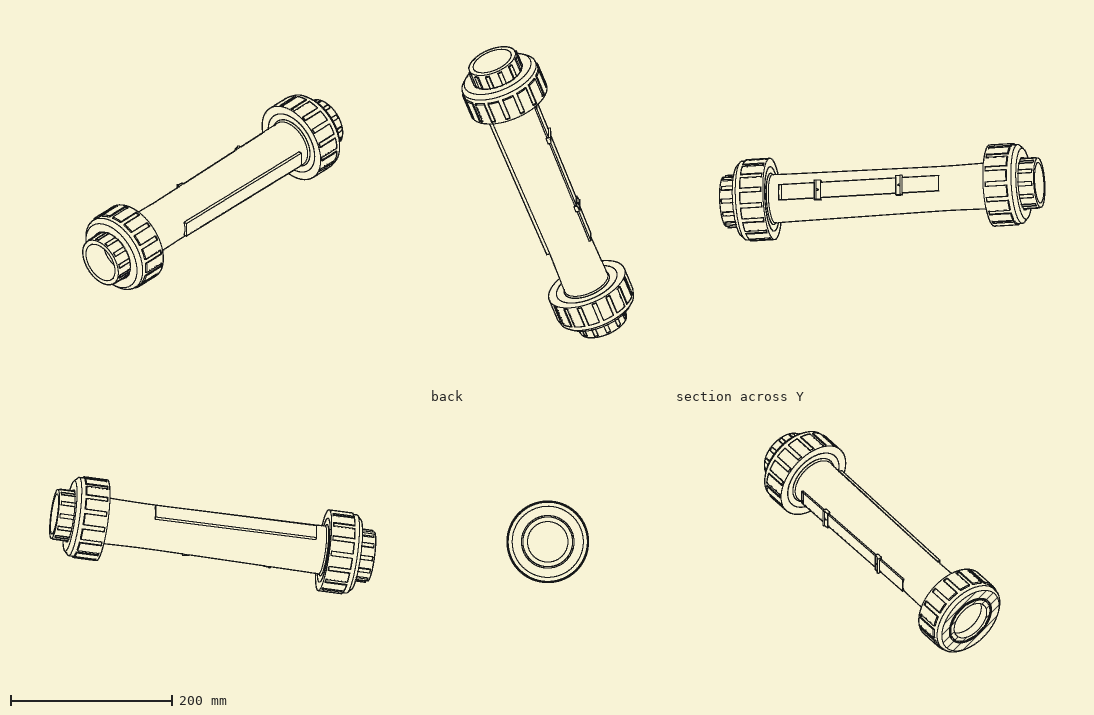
import cadquery as cq

HALF_LENGTH = 400.56 / 2
NUT_OUTER_Y = 180.8
NUT_INNER_Y = 140.3

NUT_DIAMETER = 98.3
NUT_CHAMFER = 5.0
GRIP_DIAMETER = 101.35
GRIP_END_Y = 170.4
GRIP_BEVEL = 0.8
SLOT_COUNT = 16
SLOT_WIDTH = 5.6
SLOT_END_MARGIN = 2.6
UPPER_SLOT_ANGLE = 0.0
LOWER_SLOT_ANGLE = 10.0
FLANGE_DIAMETER = 80.21
FLANGE_RECESS = 0.3
NUT_HOLE_DIAMETER = 65.28
NUT_HOLE_DEPTH = 2.0

SOCKET_DIAMETER = 61.67
BORE_DIAMETER = 50.22
BORE_DEPTH = 31.0
RIB_COUNT = 12
RIB_WIDTH = 5.0
RIB_END_MARGIN = 2.5
UPPER_RIB_DIAMETER = 65.28
LOWER_RIB_DIAMETER = 63.0
UPPER_RIB_ANGLE = 16.5
LOWER_RIB_ANGLE = 14.5

TUBE_UPPER_RADIUS = 30.1
TUBE_WAIST_RADIUS = 27.75
TUBE_LOWER_RADIUS = 28.8
TUBE_WAIST_Y = -82.5
COLLAR_LENGTH = 2.1
UPPER_COLLAR_RADIUS = 32.04
LOWER_COLLAR_RADIUS = 30.0

STRIP_UPPER_Y = 124.9
STRIP_LOWER_Y = -78.3
STRIP_WIDTH = 19.6
LEFT_STRIP_HEIGHT = 0.35
RIGHT_STRIP_HEIGHT = 2.4
STRIP_LIP_LENGTH = 3.4
STRIP_LIP_DROP = 0.2

MARKER_OUTER_YS = (79.4, -32.2)
MARKER_WIDTH = 24.4
MARKER_LENGTH = 8.0
MARKER_LIP_LENGTH = 2.6
MARKER_LIP_HEIGHT = 3.0
MARKER_RAMP_HEIGHT = 1.9
MARKER_EDGE_HEIGHT = 1.3
POINTER_SIZE = 3.2

TUBE_END_Y = NUT_INNER_Y - COLLAR_LENGTH
TAPER_SLOPE = (TUBE_UPPER_RADIUS - TUBE_WAIST_RADIUS) / (TUBE_END_Y - TUBE_WAIST_Y)


def taper_radius(y):
    """Radius of the long taper of the tube at position y."""
    return TUBE_WAIST_RADIUS + TAPER_SLOPE * (y - TUBE_WAIST_Y)


def revolve_y(points):
    """Solid of revolution about Y from (radius, y) points."""
    return cq.Workplane("XY").polyline(points).close().revolve(360, (0, 0, 0), (0, 1, 0))


def cylinder_y(diameter, y_start, y_end):
    radius = diameter / 2
    return revolve_y([(0, y_start), (radius, y_start), (radius, y_end), (0, y_end)])


def radial_bars(count, first_angle, width, y_start, y_end, reach):
    """Bars standing out from the Y axis, evenly spread around it."""
    bar = cq.Workplane("XY").box(width, y_end - y_start, reach, centered=(True, False, False))
    bar = bar.translate((0, y_start, 0))
    bars = cq.Workplane("XY")
    for index in range(count):
        angle = first_angle + index * 360 / count
        bars = bars.add(bar.rotate((0, 0, 0), (0, 1, 0), angle))
    return bars.combine()


def nut(slot_angle):
    """Union nut at the +Y end, with a slotted grip ring."""
    radius = NUT_DIAMETER / 2
    grip_radius = GRIP_DIAMETER / 2
    body = revolve_y([
        (0, NUT_INNER_Y),
        (radius, NUT_INNER_Y),
        (radius, NUT_OUTER_Y - NUT_CHAMFER),
        (radius - NUT_CHAMFER, NUT_OUTER_Y),
        (0, NUT_OUTER_Y),
    ])
    grip = revolve_y([
        (0, NUT_INNER_Y),
        (grip_radius, NUT_INNER_Y),
        (grip_radius, GRIP_END_Y - GRIP_BEVEL),
        (radius, GRIP_END_Y),
        (0, GRIP_END_Y),
    ])
    slots = radial_bars(SLOT_COUNT, slot_angle, SLOT_WIDTH,
                        NUT_INNER_Y + SLOT_END_MARGIN, GRIP_END_Y, GRIP_DIAMETER)
    recess = cylinder_y(FLANGE_DIAMETER, NUT_INNER_Y, NUT_INNER_Y + FLANGE_RECESS)
    hole = cylinder_y(NUT_HOLE_DIAMETER, NUT_OUTER_Y - NUT_HOLE_DEPTH, NUT_OUTER_Y)
    return grip.cut(slots).union(body).cut(recess).cut(hole)


def socket(rib_diameter, rib_angle):
    """Ribbed pipe socket at the +Y end, without its bore."""
    barrel = cylinder_y(SOCKET_DIAMETER, NUT_INNER_Y + FLANGE_RECESS, HALF_LENGTH)
    rib_start = NUT_OUTER_Y - NUT_HOLE_DEPTH
    rib_end = HALF_LENGTH - RIB_END_MARGIN
    ribs = radial_bars(RIB_COUNT, rib_angle, RIB_WIDTH, rib_start, rib_end, rib_diameter)
    ribs = ribs.intersect(cylinder_y(rib_diameter, rib_start, rib_end))
    return barrel.union(ribs)


def connection(slot_angle, rib_diameter, rib_angle):
    """Nut and bored socket at the +Y end."""
    bore = cylinder_y(BORE_DIAMETER, HALF_LENGTH - BORE_DEPTH, HALF_LENGTH)
    return nut(slot_angle).union(socket(rib_diameter, rib_angle)).cut(bore)


def tube():
    """Tapered tube with a conical collar at each nut."""
    seat_y = NUT_INNER_Y + FLANGE_RECESS
    return revolve_y([
        (0, -seat_y),
        (LOWER_COLLAR_RADIUS, -seat_y),
        (LOWER_COLLAR_RADIUS, -NUT_INNER_Y),
        (TUBE_LOWER_RADIUS, -TUBE_END_Y),
        (TUBE_WAIST_RADIUS, TUBE_WAIST_Y),
        (TUBE_UPPER_RADIUS, TUBE_END_Y),
        (UPPER_COLLAR_RADIUS, NUT_INNER_Y),
        (UPPER_COLLAR_RADIUS, seat_y),
        (0, seat_y),
    ])


def side_plate(points, width):
    """Plate centred on Z=0 from an outline of (x, y) points."""
    return cq.Workplane("XY").polyline(points).close().extrude(width / 2, both=True)


def left_strip():
    """Strip on the -X side whose upper end steps down to a short lip."""
    lip_y = STRIP_UPPER_Y - STRIP_LIP_LENGTH
    lip_height = LEFT_STRIP_HEIGHT - STRIP_LIP_DROP
    return side_plate([
        (0, STRIP_LOWER_Y),
        (-taper_radius(STRIP_LOWER_Y) - LEFT_STRIP_HEIGHT, STRIP_LOWER_Y),
        (-taper_radius(lip_y) - LEFT_STRIP_HEIGHT, lip_y),
        (-taper_radius(lip_y) - lip_height, lip_y),
        (-taper_radius(STRIP_UPPER_Y) - lip_height, STRIP_UPPER_Y),
        (0, STRIP_UPPER_Y),
    ], STRIP_WIDTH)


def right_strip():
    """Plain raised strip on the +X side."""
    return side_plate([
        (0, STRIP_LOWER_Y),
        (taper_radius(STRIP_LOWER_Y) + RIGHT_STRIP_HEIGHT, STRIP_LOWER_Y),
        (taper_radius(STRIP_UPPER_Y) + RIGHT_STRIP_HEIGHT, STRIP_UPPER_Y),
        (0, STRIP_UPPER_Y),
    ], STRIP_WIDTH)


def marker(outer_y):
    """Marker with a rounded lip along its outer edge and a triangular pointer on its ramp."""
    inward = -1 if outer_y > 0 else 1
    lip_y = outer_y + inward * MARKER_LIP_LENGTH
    inner_y = outer_y + inward * MARKER_LENGTH
    surface = taper_radius(outer_y + inward * MARKER_LENGTH / 2)
    ramp_x = -surface - MARKER_RAMP_HEIGHT
    crest = (-surface - MARKER_LIP_HEIGHT, (outer_y + lip_y) / 2)
    body = (
        cq.Workplane("XY")
        .moveTo(0, outer_y)
        .lineTo(ramp_x, outer_y)
        .threePointArc(crest, (ramp_x, lip_y))
        .lineTo(-surface - MARKER_EDGE_HEIGHT, inner_y)
        .lineTo(0, inner_y)
        .close()
        .extrude(MARKER_WIDTH / 2, both=True)
    )
    pointer = (
        cq.Workplane("YZ")
        .polyline([
            (lip_y, -POINTER_SIZE / 2),
            (lip_y + inward * POINTER_SIZE, 0),
            (lip_y, POINTER_SIZE / 2),
        ])
        .close()
        .extrude(ramp_x)
    )
    return body.union(pointer)


upper_end = connection(UPPER_SLOT_ANGLE, UPPER_RIB_DIAMETER, UPPER_RIB_ANGLE)
lower_end = connection(LOWER_SLOT_ANGLE, LOWER_RIB_DIAMETER, LOWER_RIB_ANGLE).mirror("XZ")

result = tube().union(left_strip()).union(right_strip())
for marker_y in MARKER_OUTER_YS:
    result = result.union(marker(marker_y))
result = result.union(upper_end).union(lower_end)